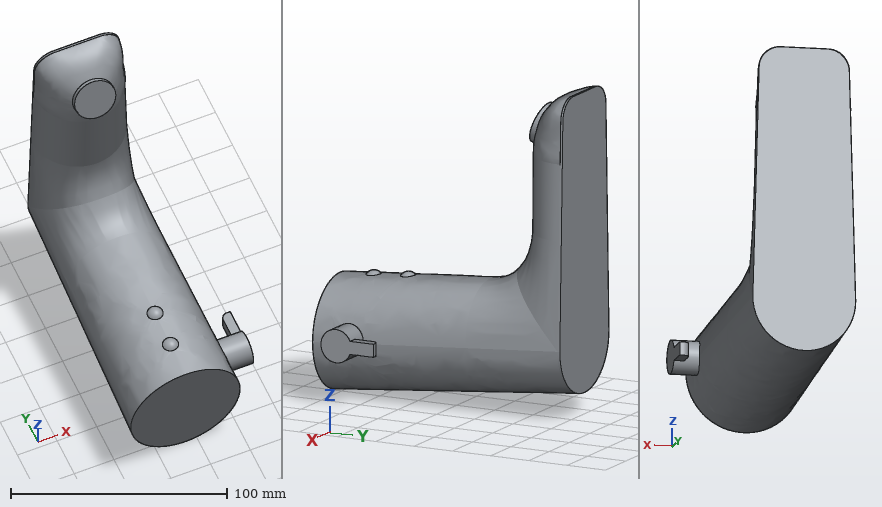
import cadquery as cq
import math

BACK = 1.1
HEIGHT = 155.2
LENGTH = 127.5
FRONT_RADIUS = 27.5
PIVOT_Z = 36.5
PIVOT_RADIUS = 24.4
TOP_HALF_WIDTH = 21.1
CORNER = 10.1
RISER_DEPTH = 24.0
HEAD_Z = 124.9
OVAL_STEPS = 16
BEND_FULLNESS = 2.4
BEND_END_FULLNESS = 2.2
ROUND_FULLNESS = 2.0
BEND_Z = 88.5
BEND_END = 48.5
BEND_END_TOP = 61.0
BEND_STEPS = 4
HEAD_ANGLES = (0, 15, 30, 45, 60, 72, 82, 87)

OUTLET_RADIUS = 10.2
OUTLET_THICKNESS = 6.2
OUTLET_CENTER = (0, -22.2, 138.3)
OUTLET_TILT = 20.6

BUTTON_POSITIONS = (91.9, 109.9)
BUTTON_RADIUS = 3.5
BUTTON_HEIGHT = 1.7

KNOB_END = 38.8
KNOB_RADIUS = 7.9
KNOB_Y = -109.2
KNOB_Z = 30.1
LEVER_THICKNESS = 4.8
LEVER_TIP_Y = -89.7
LEVER_WIDTH = 6.2
LEVER_ROUND = 3.1


def riser_half_width(z):
    fraction = (z - PIVOT_Z) / (HEIGHT - PIVOT_Z)
    return PIVOT_RADIUS + fraction * (TOP_HALF_WIDTH - PIVOT_RADIUS)


def arm_fraction(distance):
    return (distance - BACK) / (LENGTH - BACK)


def arm_half_width(distance):
    return PIVOT_RADIUS + arm_fraction(distance) * (FRONT_RADIUS - PIVOT_RADIUS)


def seam_z(distance):
    return PIVOT_Z + arm_fraction(distance) * (FRONT_RADIUS - PIVOT_Z)


def half_oval(center, tip, half_width, fullness):
    """Closed half superellipse across X, given the (y, z) of its middle and its tip."""
    dy = tip[0] - center[0]
    dz = tip[1] - center[1]
    depth = math.hypot(dy, dz)
    plane = cq.Plane(origin=(0, *center), xDir=(1, 0, 0), normal=(0, -dz, dy))
    if fullness == ROUND_FULLNESS:
        ellipse = cq.Workplane(plane).ellipseArc(half_width, depth, 0, 180, startAtCurrent=False)
        return ellipse.close().val()
    points = []
    for step in range(OVAL_STEPS + 1):
        angle = math.pi * step / OVAL_STEPS
        cosine = math.cos(angle)
        x = math.copysign(half_width * abs(cosine) ** (2 / fullness), cosine)
        points.append((x, depth * abs(math.sin(angle)) ** (2 / fullness)))
    points[0] = (half_width, 0)
    points[-1] = (-half_width, 0)
    curve = cq.Workplane(plane).spline(points, tangents=[(0, 1), (0, -1)])
    return curve.close().val()


def loft(sections, ruled=False):
    return cq.Workplane(cq.Solid.makeLoft(sections, ruled))


def between(start, end, fraction):
    return tuple(a + fraction * (b - a) for a, b in zip(start, end))


def make_back_plate():
    side_top = HEIGHT - CORNER
    top_width = riser_half_width(side_top)
    corner_drop = CORNER * (1 - math.sqrt(0.5))
    outline = (
        cq.Workplane("XZ")
        .moveTo(-PIVOT_RADIUS, PIVOT_Z)
        .lineTo(-top_width, side_top)
        .threePointArc((corner_drop - top_width, HEIGHT - corner_drop), (CORNER - top_width, HEIGHT))
        .lineTo(top_width - CORNER, HEIGHT)
        .threePointArc((top_width - corner_drop, HEIGHT - corner_drop), (top_width, side_top))
        .lineTo(PIVOT_RADIUS, PIVOT_Z)
        .threePointArc((0, PIVOT_Z - PIVOT_RADIUS), (-PIVOT_RADIUS, PIVOT_Z))
        .close()
    )
    return outline.extrude(BACK)


def make_head():
    """Dome with an elliptical side profile and rounded upper corners."""
    sections = []
    for angle in HEAD_ANGLES:
        z = HEAD_Z + (HEIGHT - HEAD_Z) * math.sin(math.radians(angle))
        depth = (RISER_DEPTH - BACK) * math.cos(math.radians(angle))
        rise = max(0, z - HEIGHT + CORNER)
        inset = CORNER - math.sqrt(CORNER**2 - rise**2)
        half_width = riser_half_width(z) - inset
        sections.append(half_oval((-BACK, z), (-BACK - depth, z), half_width, ROUND_FULLNESS))
    return loft(sections)


def make_riser():
    return loft([
        half_oval((-BACK, z), (-RISER_DEPTH, z), riser_half_width(z), ROUND_FULLNESS)
        for z in (BEND_Z, HEAD_Z)
    ], ruled=True)


def bend_tip(t):
    """Point on the smooth inner curve of the bend, t from 0 at the riser to 1 at the arm."""
    start = (-RISER_DEPTH, BEND_Z)
    end = (-BEND_END, BEND_END_TOP)
    slope = (BEND_END_TOP - 2 * FRONT_RADIUS) / (LENGTH - BEND_END)
    corner = (-RISER_DEPTH, BEND_END_TOP + slope * (BEND_END - RISER_DEPTH))
    middle_weight = 2 * t * (1 - t) * math.sqrt(0.5)
    weights = ((1 - t) ** 2, middle_weight, t**2)
    total = sum(weights)
    return tuple(
        sum(w * p[axis] for w, p in zip(weights, (start, corner, end))) / total for axis in (0, 1)
    )


def make_bend():
    """Two lofts that share the diagonal section through the pivot."""
    pivot = (-BACK, PIVOT_Z)
    upper = []
    lower = []
    arm_end = (-BEND_END, seam_z(BEND_END))
    for step in range(BEND_STEPS + 1):
        fraction = step / BEND_STEPS
        center = between((-BACK, BEND_Z), pivot, fraction)
        tip = bend_tip(fraction / 2)
        fullness = ROUND_FULLNESS + fraction * (BEND_FULLNESS - ROUND_FULLNESS)
        upper.append(half_oval(center, tip, riser_half_width(center[1]), fullness))
        center = between(pivot, arm_end, fraction)
        tip = bend_tip((1 + fraction) / 2)
        fullness = BEND_FULLNESS + fraction * (BEND_END_FULLNESS - BEND_FULLNESS)
        lower.append(half_oval(center, tip, arm_half_width(-center[0]), fullness))
    return loft(upper).union(loft(lower))


def make_arm():
    front_center = (-LENGTH, FRONT_RADIUS)
    bend_center = (-BEND_END, seam_z(BEND_END))
    upper = loft([
        half_oval(bend_center, (-BEND_END, BEND_END_TOP), arm_half_width(BEND_END), BEND_END_FULLNESS),
        half_oval(front_center, (-LENGTH, 2 * FRONT_RADIUS), FRONT_RADIUS, ROUND_FULLNESS),
    ], ruled=True)
    lower = loft([
        half_oval((-BACK, PIVOT_Z), (-BACK, PIVOT_Z - PIVOT_RADIUS), PIVOT_RADIUS, ROUND_FULLNESS),
        half_oval(front_center, (-LENGTH, 0), FRONT_RADIUS, ROUND_FULLNESS),
    ], ruled=True)
    return upper.union(lower)


def make_outlet():
    tilt = math.radians(OUTLET_TILT)
    face = cq.Plane(origin=OUTLET_CENTER, xDir=(1, 0, 0), normal=(0, -math.cos(tilt), math.sin(tilt)))
    return cq.Workplane(face).circle(OUTLET_RADIUS).extrude(-OUTLET_THICKNESS)


def make_button(distance):
    """Ball sunk into the arm so that a shallow cap stands out."""
    fraction = (distance - BEND_END) / (LENGTH - BEND_END)
    surface_z = BEND_END_TOP + fraction * (2 * FRONT_RADIUS - BEND_END_TOP)
    ball_radius = (BUTTON_RADIUS**2 + BUTTON_HEIGHT**2) / (2 * BUTTON_HEIGHT)
    center_z = surface_z + BUTTON_HEIGHT - ball_radius
    return cq.Workplane("XY").sphere(ball_radius).translate((0, -distance, center_z))


def make_knob():
    axis_plane = cq.Plane(origin=(0, KNOB_Y, KNOB_Z), xDir=(0, 1, 0), normal=(1, 0, 0))
    stub = cq.Workplane(axis_plane).circle(KNOB_RADIUS).extrude(KNOB_END)
    lever_length = LEVER_TIP_Y - KNOB_Y
    lever = (
        cq.Workplane("XY")
        .box(LEVER_THICKNESS, lever_length, LEVER_WIDTH, centered=(False, False, True))
        .edges("<X and >Y")
        .fillet(LEVER_ROUND)
        .translate((KNOB_END - LEVER_THICKNESS, KNOB_Y, KNOB_Z))
    )
    return stub.union(lever)


result = make_back_plate()
for piece in (make_riser(), make_head(), make_bend(), make_arm(), make_outlet(), make_knob()):
    result = result.union(piece)
for position in BUTTON_POSITIONS:
    result = result.union(make_button(position))